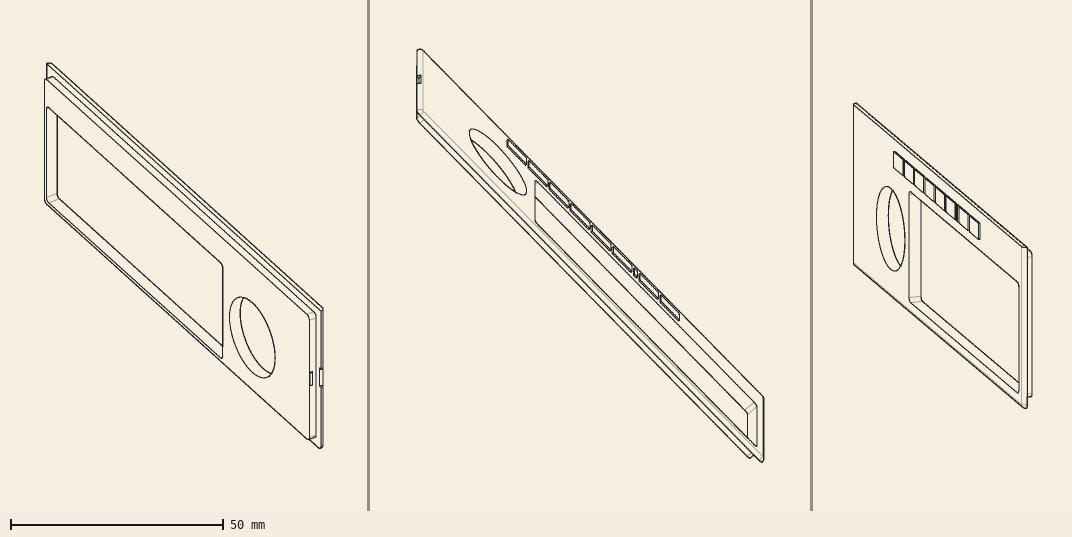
import cadquery as cq

length = 120.5
height = 40.0
thickness = 3.4

rim_depth = 1.9
plate_thickness = 1.1
plate_corner_radius = 1.1
plate_edge_rounding = 1.0
rim_margin = 2.0
rim_corner_radius = 1.1

window_left = 3.0
window_bottom = 3.0
window_length = 77.4
window_height = 27.4
window_corner_radius = 1.0
hole_diameter = 20.0
hole_x = 93.4
hole_z = 17.1

bump_width = 3.6
bump_radius = 0.4
bump_y = 0.5
bump_z = 20.0
notch_width = 5.1
notch_depth_front = 0.7
notch_depth_back = 0.4
notch_z = 20.6

mark_width = 6.5
narrow_mark_width = 1.1
mark_widths = [mark_width] * 2 + [narrow_mark_width] + [mark_width] * 6
mark_gap = 0.8
marks_left = 30.4
mark_height = 4.0
mark_top_margin = 2.9

plate_front = rim_depth
plate_back = plate_front + plate_thickness
mark_relief = thickness - plate_back


def block(x, y, z, size_x, size_y, size_z):
    """Box with its lowest corner at (x, y, z)."""
    return cq.Workplane("XY").box(size_x, size_y, size_z, centered=False).translate((x, y, z))


def make_plate():
    """Cover plate with rounded lower corners; its back edge is rounded except along the top."""
    plate = block(0, plate_front, 0, length, plate_thickness, height)
    plate = plate.edges("|Y and <Z").fillet(plate_corner_radius)
    return plate.faces(">Y").edges("not >Z").fillet(plate_edge_rounding)


def make_rim():
    """Raised panel on the front of the plate, set in by the margin on all sides."""
    rim = block(
        rim_margin, 0, rim_margin,
        length - 2 * rim_margin, rim_depth, height - 2 * rim_margin,
    )
    return rim.edges("|Y").fillet(rim_corner_radius)


def make_window():
    """Cutter for the rectangular opening, through the full thickness."""
    window = block(window_left, 0, window_bottom, window_length, thickness, window_height)
    return window.edges("|Y").fillet(window_corner_radius)


def make_hole():
    """Cutter for the round opening, through the full thickness."""
    return (
        cq.Workplane("XZ", origin=(hole_x, 0, hole_z))
        .circle(hole_diameter / 2)
        .extrude(-thickness)
    )


def make_bump():
    """Upright rod half sunk into the right side of the rim."""
    rim_right = length - rim_margin
    return (
        cq.Workplane("XY", origin=(rim_right, bump_y, bump_z - bump_width / 2))
        .circle(bump_radius)
        .extrude(bump_width)
    )


def make_notch():
    """Cutter with a slanted floor, deeper at the front of the plate than at the back."""
    return (
        cq.Workplane("XY", origin=(0, 0, notch_z - notch_width / 2))
        .moveTo(length, plate_front)
        .lineTo(length - notch_depth_front, plate_front)
        .lineTo(length - notch_depth_back, plate_back)
        .lineTo(length, plate_back)
        .close()
        .extrude(notch_width)
    )


def add_marks(body):
    """Add the row of raised marks, from left to right."""
    left = marks_left
    bottom = height - mark_top_margin - mark_height
    for width in mark_widths:
        body = body.union(
            block(left, plate_front, bottom, width, plate_thickness + mark_relief, mark_height)
        )
        left += width + mark_gap
    return body


result = make_plate().union(make_rim()).union(make_bump())
result = result.cut(make_notch())
result = add_marks(result)
result = result.cut(make_window()).cut(make_hole())